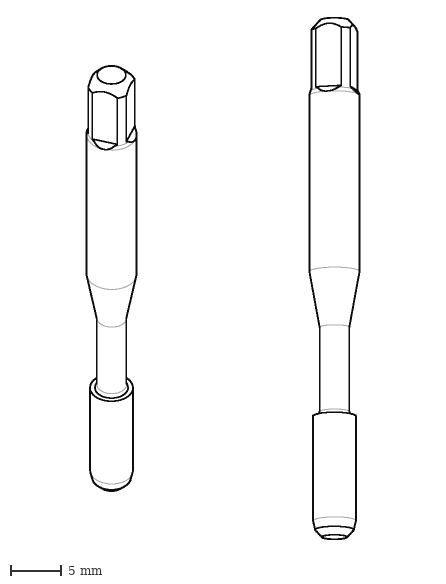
import cadquery as cq

total_length = 52.2
tip_cone_top = 0.75
head_lead_top = 1.65
head_top = 12.2
neck_bottom = 12.7
taper_bottom = 21.2
taper_top = 26.85
shank_chamfer_bottom = 44.65
drive_bottom = 45.05
flat_bottom = 45.2
drive_chamfer_bottom = 51.1

tip_diameter = 2.5
neck_foot_diameter = 3.3
neck_diameter = 3.0
shank_diameter = 5.0
drive_diameter = 4.8
drive_top_diameter = 2.85
head_diameter = 4.3
head_lead_diameter = 3.85

flats_width = 4.0
flat_runout_drop = 0.45


def revolve_profile(points):
    """Revolve a closed (radius, height) outline about Z."""
    return cq.Workplane("XZ").polyline(points).close().revolve(360, (0, 0, 0), (0, 1, 0))


def make_flat_cutter():
    """Wedge-bottomed block that cuts one drive flat on the +X side."""
    flat_radius = flats_width / 2
    outer_radius = shank_diameter
    runout_slope = flat_runout_drop / (drive_diameter / 2 - flat_radius)
    outer_bottom = flat_bottom - runout_slope * (outer_radius - flat_radius)
    return (
        cq.Workplane("XZ")
        .polyline([
            (flat_radius, flat_bottom),
            (outer_radius, outer_bottom),
            (outer_radius, total_length),
            (flat_radius, total_length),
        ])
        .close()
        .extrude(shank_diameter / 2, both=True)
    )


def make_shank():
    """Stepped shank with a flared neck foot, a taper and a square drive."""
    shank = revolve_profile([
        (0, head_top),
        (neck_foot_diameter / 2, head_top),
        (neck_diameter / 2, neck_bottom),
        (neck_diameter / 2, taper_bottom),
        (shank_diameter / 2, taper_top),
        (shank_diameter / 2, shank_chamfer_bottom),
        (drive_diameter / 2, drive_bottom),
        (drive_diameter / 2, drive_chamfer_bottom),
        (drive_top_diameter / 2, total_length),
        (0, total_length),
    ])
    flat_cutter = make_flat_cutter()
    for angle in (0, 90, 180, 270):
        shank = shank.cut(flat_cutter.rotate((0, 0, 0), (0, 0, 1), angle))
    return shank


def make_cutting_head():
    """Plain cutting head under the neck, with a tapered lead and a conical tip."""
    return revolve_profile([
        (0, 0),
        (tip_diameter / 2, 0),
        (head_lead_diameter / 2, tip_cone_top),
        (head_diameter / 2, head_lead_top),
        (head_diameter / 2, head_top),
        (0, head_top),
    ])


shank = make_shank()
cutting_head = make_cutting_head()
result = cq.Compound.makeCompound([shank.val(), cutting_head.val()])